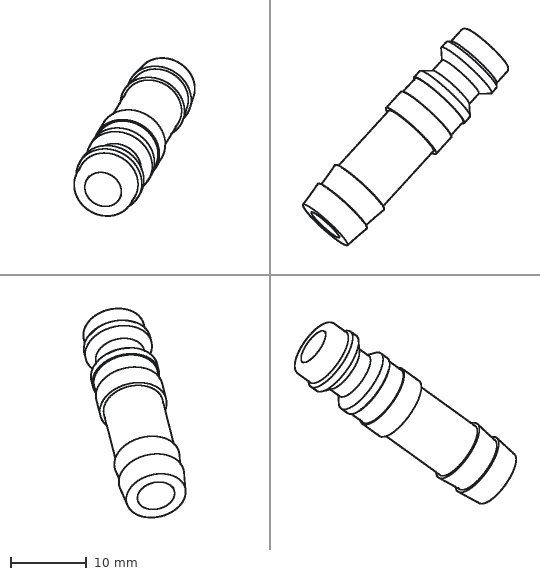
import cadquery as cq

total_length = 32.0
bore_diameter = 5.0

rim_radius = 9.01 / 2
tip_radius = 8.2 / 2
neck_radius = 6.6 / 2
groove_radius = 8.6 / 2
tube_radius = 8.0 / 2
barb_radius = 8.8 / 2

tip_rounding = 0.5
tip_end = 2.6
front_rim_end = 4.05
neck_start = 5.22
neck_end = 7.15
rear_rim_start = 8.3
rear_rim_end = 9.45
collar_start = 12.0
collar_end = 15.0

barb_count = 2
barb_length = 3.4
first_barb_start = total_length - barb_count * barb_length


def plug_profile(profile):
    """Add the half outline of the rounded tip, the two rims, the neck and the collar."""
    front_rim_start = tip_end + rim_radius - tip_radius
    return (
        profile
        .lineTo(tip_radius - tip_rounding, 0)
        .tangentArcPoint((tip_radius, tip_rounding), relative=False)
        .lineTo(tip_radius, tip_end)
        .lineTo(rim_radius, front_rim_start)
        .lineTo(rim_radius, front_rim_end)
        .lineTo(neck_radius, neck_start)
        .lineTo(neck_radius, neck_end)
        .lineTo(rim_radius, rear_rim_start)
        .lineTo(rim_radius, rear_rim_end)
        .lineTo(groove_radius, rear_rim_end)
        .lineTo(groove_radius, collar_start)
        .lineTo(rim_radius, collar_start)
        .lineTo(rim_radius, collar_end)
        .lineTo(tube_radius, collar_end)
    )


def tail_profile(profile):
    """Add the half outline of the plain tube and its barbs, each tapering towards the far end."""
    profile = profile.lineTo(tube_radius, first_barb_start)
    for index in range(barb_count):
        barb_start = first_barb_start + index * barb_length
        profile = profile.lineTo(barb_radius, barb_start)
        profile = profile.lineTo(tube_radius, barb_start + barb_length)
    return profile


def make_hose_plug():
    """Revolve the half outline about Y, leaving the through bore open."""
    bore_radius = bore_diameter / 2
    outline = cq.Workplane("XY").moveTo(bore_radius, 0)
    outline = plug_profile(outline)
    outline = tail_profile(outline)
    outline = outline.lineTo(bore_radius, total_length).close()
    return outline.revolve(360, (0, 0, 0), (0, 1, 0))


result = make_hose_plug()